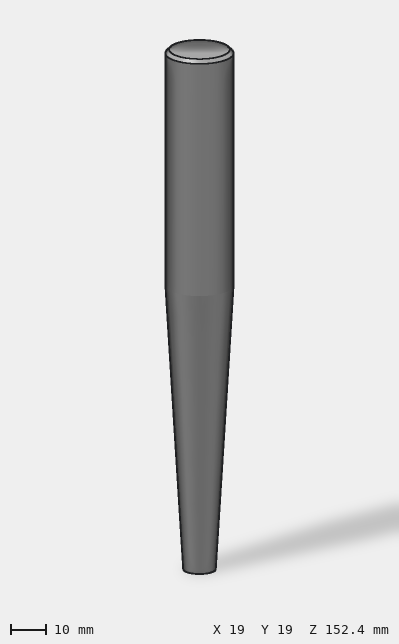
import cadquery as cq

total_length = 152.4
shank_diameter = 19.0
shank_length = 69.2
top_chamfer = 1.0
tip_diameter = 9.1

taper_length = total_length - shank_length

taper = (
    cq.Workplane("XY")
    .circle(tip_diameter / 2)
    .workplane(offset=taper_length)
    .circle(shank_diameter / 2)
    .loft(ruled=True)
)

shank = (
    cq.Workplane("XY")
    .workplane(offset=taper_length)
    .circle(shank_diameter / 2)
    .extrude(shank_length)
    .faces(">Z")
    .chamfer(top_chamfer)
)

result = taper.union(shank)